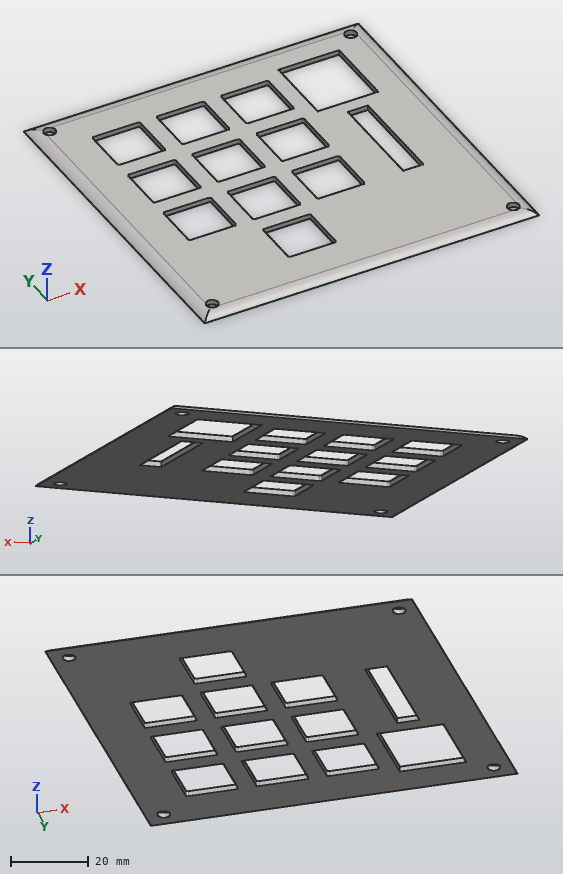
import cadquery as cq
import math

length = 99.0
width = 97.0
thickness = 1.5
rim_radius = 4.95
rim_run = math.sqrt(rim_radius**2 - (rim_radius - thickness) ** 2)

screw_diameter = 3.4
screw_inset = 4.95

key_size = 14.1
key_corner_radius = 0.5
key_pitch = 19.0
middle_key_x = -10.2
middle_key_y = 9.9

display_length = 17.9
display_width = 21.0
display_center = (29.5, 28.3)
slot_length = 5.9
slot_width = 29.7
slot_center = (30.2, -1.1)


def rim_prism(span, depth):
    """Bar along Y, centred on X, with flat top and bottom and rounded-over long edges."""
    half_base = span / 2
    half_top = half_base - rim_run
    half_sweep = math.asin(rim_run / rim_radius) / 2
    mid_x = half_top + rim_radius * math.sin(half_sweep)
    mid_z = thickness - rim_radius * (1 - math.cos(half_sweep))
    return (
        cq.Workplane("XZ")
        .moveTo(-half_base, 0)
        .lineTo(half_base, 0)
        .threePointArc((mid_x, mid_z), (half_top, thickness))
        .lineTo(-half_top, thickness)
        .threePointArc((-mid_x, mid_z), (-half_base, 0))
        .close()
        .extrude(depth / 2, both=True)
    )


def opening(size_x, size_y, center):
    """Rectangular cutter through the full plate thickness."""
    return cq.Workplane("XY").center(*center).rect(size_x, size_y).extrude(thickness)


def key_centers():
    grid = [
        (middle_key_x + column * key_pitch, middle_key_y + row * key_pitch)
        for column in (-1, 0, 1)
        for row in (-1, 0, 1)
    ]
    bottom_key = (middle_key_x, middle_key_y - 2 * key_pitch)
    return grid + [bottom_key]


bar_along_y = rim_prism(length, width)
bar_along_x = rim_prism(width, length).rotate((0, 0, 0), (0, 0, 1), 90)
plate = bar_along_y.intersect(bar_along_x)

for key_center in key_centers():
    key = opening(key_size, key_size, key_center).edges("|Z").fillet(key_corner_radius)
    plate = plate.cut(key)

plate = plate.cut(opening(display_length, display_width, display_center))
plate = plate.cut(opening(slot_length, slot_width, slot_center))

screw_holes = (
    cq.Workplane("XY")
    .rect(length - 2 * screw_inset, width - 2 * screw_inset, forConstruction=True)
    .vertices()
    .circle(screw_diameter / 2)
    .extrude(thickness)
)
result = plate.cut(screw_holes)